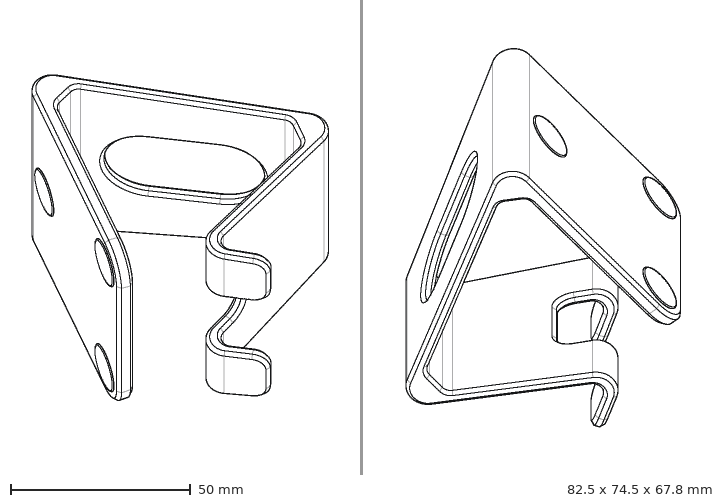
import cadquery as cq
import math

overall_length = 82.5

back_leg_angle = 60.8
front_leg_angle = 59.5
lip_angle = 60.0
leg_thickness = 3.7
base_thickness = 4.8
base_length = 70.9
body_height = 74.1
hook_bottom = 26.5
bend_outer_radius = 6.0
bend_inner_radius = 3.0
ridge_web = 9.1
heel_web_side = 8.25

base_width = 68.0
taper_angle = 4.2

edge_chamfer = 1.1
base_corner_radius = 10.0
lip_corner_radius = 5.0

window_width = 25.0
window_length = 45.1
window_center_height = 40.6
notch_width = 25.15
notch_top = 38.4
notch_corner_radius = 5.0

foot_radius = 7.0
foot_height = 0.4
foot_chamfer = 0.3
heel_foot_x = 14.8

clearance = 49.5

base_half_width = base_width / 2


def heading(angle):
    """Unit XY vector at an angle in degrees from +X."""
    return cq.Vector(math.cos(math.radians(angle)), math.sin(math.radians(angle)))


def shifted(line, distance):
    """A (point, angle) line moved sideways, to the left of its heading."""
    point, angle = line
    return point + heading(angle + 90) * distance, angle


def meet(first, second):
    """Point where two (point, angle) lines cross."""
    normal = heading(second[1] + 90)
    ahead = heading(first[1])
    return first[0] + ahead * ((second[0] - first[0]).dot(normal) / ahead.dot(normal))


def rounded_outline(corners):
    """Closed XY outline through (point, radius) corners, radius 0 being sharp."""
    bends = []
    for i, (corner, radius) in enumerate(corners):
        back = (corners[i - 1][0] - corner).normalized()
        ahead = (corners[(i + 1) % len(corners)][0] - corner).normalized()
        half_angle = back.getAngle(ahead) / 2
        setback = radius / math.tan(half_angle)
        rise = radius / math.sin(half_angle) - radius
        middle = corner + (back + ahead).normalized() * rise
        bends.append((radius, corner + back * setback, middle, corner + ahead * setback))
    outline = cq.Workplane("XY").moveTo(bends[0][3].x, bends[0][3].y)
    for radius, start, middle, end in bends[1:]:
        outline = outline.lineTo(start.x, start.y)
        if radius > 0:
            outline = outline.threePointArc((middle.x, middle.y), (end.x, end.y))
    return outline.close()


base_under = (cq.Vector(0, 0), 0)
base_upper = shifted(base_under, base_thickness)
heel_center = cq.Vector(bend_outer_radius, bend_outer_radius)
back_outer = shifted((heel_center, back_leg_angle), bend_outer_radius)
back_inner = shifted(back_outer, -leg_thickness)
ridge_center = meet(
    (heel_center, back_leg_angle),
    shifted(base_under, body_height - bend_outer_radius),
)
front_outer = shifted((ridge_center, -front_leg_angle), bend_outer_radius)
front_inner = shifted(front_outer, -leg_thickness)
hook_center = meet(
    shifted(front_inner, bend_outer_radius),
    shifted(base_under, hook_bottom + bend_outer_radius),
)
lip_outer = shifted((hook_center, lip_angle), -bend_outer_radius)
lip_inner = shifted(lip_outer, leg_thickness)
web_under = shifted(base_under, body_height - ridge_web)

hook_corner = meet(front_inner, lip_outer)
lip_end_x = overall_length + edge_chamfer * heading(lip_angle).x
lip_end = meet(lip_outer, (cq.Vector(lip_end_x, 0), 90))
lip_tip = (lip_end, lip_angle + 90)
heel_web_foot = meet(back_inner, base_upper) + cq.Vector(heel_web_side, 0)
heel_web = (heel_web_foot, 90 + back_leg_angle / 2)


def sheet():
    """Bent sheet between two side planes that lean together towards the ridge."""
    profile = rounded_outline([
        (cq.Vector(base_length, 0), 0),
        (meet(base_under, back_outer), bend_outer_radius),
        (meet(back_outer, front_outer), bend_outer_radius),
        (meet(front_outer, lip_inner), bend_inner_radius),
        (meet(lip_inner, lip_tip), 0),
        (lip_end, 0),
        (hook_corner, bend_outer_radius),
        (meet(front_inner, web_under), bend_inner_radius),
        (meet(web_under, back_inner), bend_inner_radius),
        (meet(back_inner, heel_web), bend_inner_radius),
        (heel_web_foot, bend_inner_radius),
        (cq.Vector(base_length, base_thickness), 0),
    ])
    top_half_width = base_half_width - body_height * math.tan(math.radians(taper_angle))
    side_outline = (
        cq.Workplane("YZ")
        .polyline([
            (0, -base_half_width),
            (body_height, -top_half_width),
            (body_height, top_half_width),
            (0, base_half_width),
        ])
        .close()
    )
    body = profile.extrude(base_half_width, both=True)
    return body.intersect(side_outline.extrude(base_length + clearance, both=True))


def sloped_plane(point, angle):
    """Work plane on a leg face, local X along the leg and Z square to it."""
    ahead = heading(angle)
    across = heading(angle + 90)
    return cq.Plane(origin=point.toTuple(), xDir=ahead.toTuple(), normal=across.toTuple())


def window():
    """Stadium hole square through the back leg."""
    middle = meet(back_outer, shifted(base_under, window_center_height))
    return (
        cq.Workplane(sloped_plane(middle, back_leg_angle))
        .slot2D(window_length, window_width)
        .extrude(2 * leg_thickness, both=True)
    )


def notch():
    """Opening up the front leg from the hook, clear of the base below it."""
    start = meet(front_inner, shifted(base_under, notch_top))
    plane = sloped_plane(start, -front_leg_angle)
    block = (
        cq.Workplane(plane)
        .workplane(offset=-leg_thickness)
        .center(base_length / 2, 0)
        .rect(base_length, notch_width)
        .extrude(clearance)
    )
    upper_end = block.faces(cq.selectors.DirectionMinMaxSelector(plane.xDir, False))
    return upper_end.edges(cq.selectors.ParallelDirSelector(plane.zDir)).fillet(notch_corner_radius)


def foot(x, z):
    """Thin round pad under the base."""
    return (
        cq.Workplane("XZ", origin=(x, 0, z))
        .circle(foot_radius)
        .extrude(foot_height)
        .faces("<Y")
        .chamfer(foot_chamfer)
    )


def near(point, z):
    """Selector for the edge whose middle lies closest to an XY point at height z."""
    return cq.selectors.NearestToPointSelector((point.x, point.y, z))


part = sheet()

base_end = cq.Vector(base_length, base_thickness / 2)
for z in (-base_half_width, base_half_width):
    part = part.edges(near(base_end, z)).fillet(base_corner_radius)

part = part.cut(notch())
lip_middle = lip_end + heading(lip_angle + 90) * (leg_thickness / 2)
for side in (-1, 1):
    for z in (notch_width / 2, base_half_width):
        part = part.edges(near(lip_middle, side * z)).fillet(lip_corner_radius)

for y in (0, base_thickness):
    part = part.edges(near(cq.Vector(base_length, y), 0)).chamfer(edge_chamfer)

part = part.cut(window())
for face_line in (back_outer, back_inner):
    middle = meet(face_line, shifted(base_under, window_center_height))
    part = part.edges(near(middle, window_width / 2)).chamfer(edge_chamfer)

corner_foot_x = base_length - base_corner_radius
corner_foot_z = base_half_width - base_corner_radius
for foot_x, foot_z in (
    (heel_foot_x, 0),
    (corner_foot_x, corner_foot_z),
    (corner_foot_x, -corner_foot_z),
):
    part = part.union(foot(foot_x, foot_z))

result = part